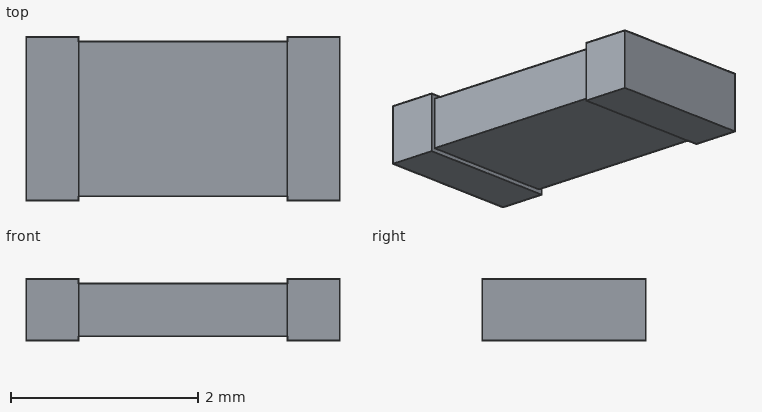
import cadquery as cq

LENGTH = 3.35
WIDTH = 1.75
HEIGHT = 0.66

TERMINAL_LENGTH = 0.56
STEP = 0.047

CORE_LENGTH = LENGTH - 2 * TERMINAL_LENGTH


def make_core():
    """Plain block that fills the space between the terminals."""
    return cq.Workplane("XY").box(CORE_LENGTH, WIDTH - 2 * STEP, HEIGHT - 2 * STEP)


def make_terminal(side):
    """End block touching the core; side is -1 for the -X end, +1 for the +X end."""
    center_x = side * (LENGTH - TERMINAL_LENGTH) / 2
    return cq.Workplane("XY").box(TERMINAL_LENGTH, WIDTH, HEIGHT).translate((center_x, 0, 0))


core = make_core()
terminals = [make_terminal(side) for side in (-1, 1)]

result = cq.Compound.makeCompound([core.val(), *[terminal.val() for terminal in terminals]])